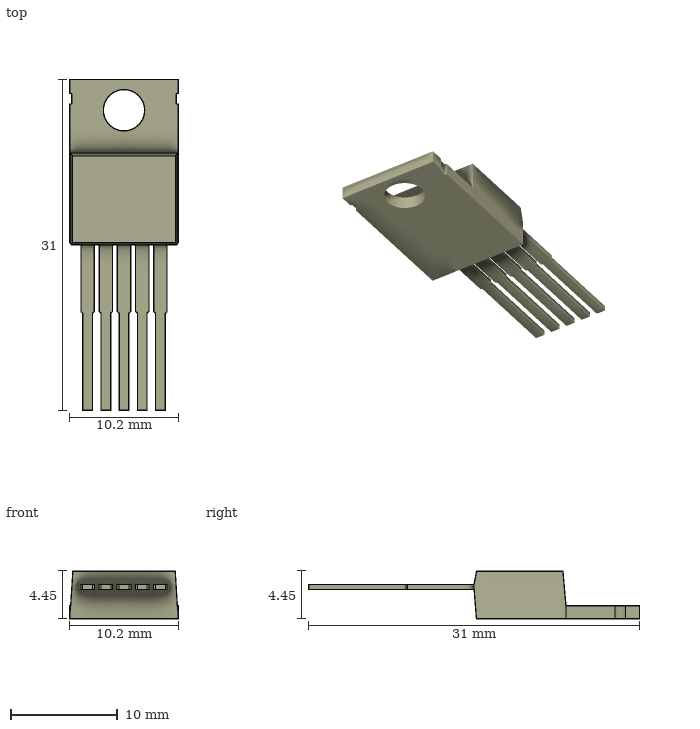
import cadquery as cq

package_width = 10.15
package_length = 30.98
package_height = 4.45

tab_length = 6.88
tab_thickness = 1.25
hole_diameter = 3.85
hole_from_end = 2.88
notch_from_end = 1.33
notch_length = 0.95
notch_depth = 0.2

front_y = -15.5
side_inset = 0.28
back_inset = 0.28
front_inset = 0.22

lead_count = 5
lead_pitch = 1.7
lead_thickness = 0.5
lead_bottom = 2.73
lead_wide = 1.27
lead_narrow = 0.93
shoulder_y = -21.72
shoulder_length = 0.15

lead_top = lead_bottom + lead_thickness
back_y = -tab_length


def make_tab():
    """Flat plate with a screw hole and a shallow notch in each long edge."""
    tab = cq.Workplane("XY").box(
        package_width, tab_length, tab_thickness, centered=(True, False, False)
    ).translate((0, back_y, 0))
    hole = (
        cq.Workplane("XY")
        .center(0, -hole_from_end)
        .circle(hole_diameter / 2)
        .extrude(tab_thickness)
    )
    notches = (
        cq.Workplane("XY")
        .pushPoints([(side * package_width / 2, -notch_from_end - notch_length / 2) for side in (-1, 1)])
        .rect(2 * notch_depth, notch_length)
        .extrude(tab_thickness)
    )
    return tab.cut(hole).cut(notches)


def make_housing():
    """Block with drafted sides, a sloped back and a front that is proud at the lead band."""
    side_profile = (
        cq.Workplane("YZ")
        .moveTo(back_y, 0)
        .lineTo(back_y, tab_thickness)
        .lineTo(back_y - back_inset, package_height)
        .lineTo(front_y + front_inset, package_height)
        .lineTo(front_y, lead_top)
        .lineTo(front_y, lead_bottom)
        .lineTo(front_y + front_inset, 0)
        .close()
        .extrude(package_width / 2, both=True)
    )
    bottom_half = package_width / 2
    top_half = bottom_half - side_inset
    drafted_sides = (
        cq.Workplane("XZ")
        .polyline([
            (-bottom_half, 0),
            (bottom_half, 0),
            (top_half, package_height),
            (-top_half, package_height),
        ])
        .close()
        .extrude(package_length)
    )
    return side_profile.intersect(drafted_sides)


def make_lead(center_x):
    """Flat lead that steps from a wide root to a narrow tip through sloped shoulders."""
    shoulder_end = shoulder_y - shoulder_length
    return (
        cq.Workplane("XY", origin=(center_x, 0, lead_bottom))
        .polyline([
            (-lead_wide / 2, front_y),
            (-lead_wide / 2, shoulder_y),
            (-lead_narrow / 2, shoulder_end),
            (-lead_narrow / 2, -package_length),
            (lead_narrow / 2, -package_length),
            (lead_narrow / 2, shoulder_end),
            (lead_wide / 2, shoulder_y),
            (lead_wide / 2, front_y),
        ])
        .close()
        .extrude(lead_thickness)
    )


tab = make_tab()
housing = make_housing()
leads = []
for index in range(lead_count):
    lead_x = (index - (lead_count - 1) / 2) * lead_pitch
    leads.append(make_lead(lead_x).val())

result = cq.Compound.makeCompound([tab.val(), housing.val(), *leads])